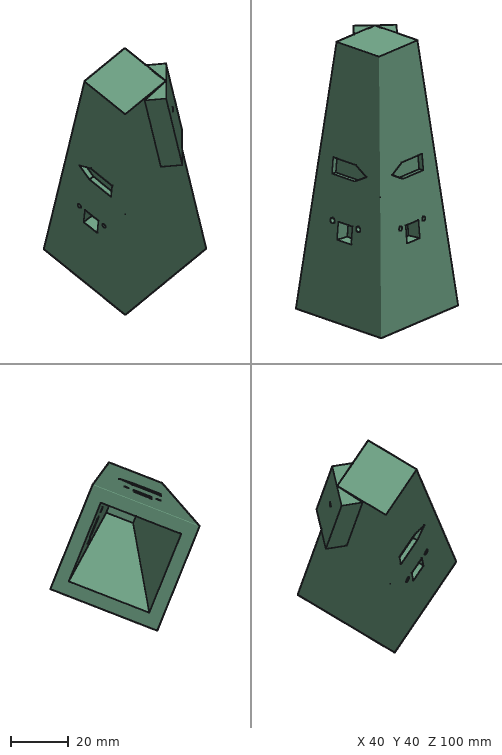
import cadquery as cq
import math

height = 100
base_side = 40
top_side = base_side / 2
edge_radius = 0.2

cavity_base_side = 30
cavity_top_side = 10
cavity_height = 90

arrow_length = 15.7
arrow_width = 6
arrow_tip = 8
arrow_depth = 2
front_arrow_z = 56.2
left_arrow_z = 55.6

window_z = 33
window_side = 6.6
pin_z = 36
pin_spacing = 12
front_pin_diameter = 1.6
left_pin_diameter = 2
wall_cut_depth = 7

block_width = 15
block_length = 40
block_depth = 15
block_proud = 0.1
block_hole_diameter = 1.6
block_hole_depth = 3
block_hole_drop = 17

face_slope = math.atan((base_side - top_side) / 2 / height)
corner_slope = math.atan((base_side - top_side) / math.sqrt(2) / height)


def frustum(bottom_side, upper_side, tall):
    """Square frustum standing on the XY plane."""
    base = cq.Workplane("XY").rect(bottom_side, bottom_side)
    return base.workplane(offset=tall).rect(upper_side, upper_side).loft(ruled=True)


def front_plane(z):
    """Workplane on the sloping -Y face at height z, with its normal pointing outward."""
    y = z * math.tan(face_slope) - base_side / 2
    normal = (0, -math.cos(face_slope), math.sin(face_slope))
    return cq.Workplane(cq.Plane((0, y, z), (1, 0, 0), normal))


def corner_plane():
    """Workplane along the sloping +X +Y corner edge, with its origin at the top of the edge."""
    side = math.cos(corner_slope) / math.sqrt(2)
    normal = (side, side, math.sin(corner_slope))
    plane = cq.Plane((top_side / 2, top_side / 2, height), (-1, 1, 0), normal)
    return cq.Workplane(plane).workplane(offset=block_proud)


def arrow_recess(z):
    """Recess shaped like an arrow pointing to -X, its nose an equilateral triangle."""
    shoulder = arrow_width * math.sqrt(3) / 2 - arrow_tip
    tail = arrow_length - arrow_tip
    half_width = arrow_width / 2
    outline = [
        (-arrow_tip, 0),
        (shoulder, half_width),
        (tail, half_width),
        (tail, -half_width),
        (shoulder, -half_width),
    ]
    return front_plane(z).polyline(outline).close().extrude(-arrow_depth)


def window():
    """Square opening through the wall."""
    return front_plane(window_z).rect(window_side, window_side).extrude(-wall_cut_depth)


def pin_holes(diameter):
    """Pair of round holes through the wall, one on each side of the window."""
    centres = [(-pin_spacing / 2, 0), (pin_spacing / 2, 0)]
    return front_plane(pin_z).pushPoints(centres).circle(diameter / 2).extrude(-wall_cut_depth)


def on_left_face(cutter):
    """Carry a cutter to the -X face, mirrored so that both arrows point to the shared edge."""
    return cutter.mirror("YZ").rotate((0, 0, 0), (0, 0, 1), -90)


def corner_block():
    """Plain block lying along the corner edge."""
    outer = corner_plane().center(0, -block_length / 2)
    return outer.rect(block_width, block_length).extrude(-block_depth)


def block_hole():
    """Blind hole in the outer face of the block."""
    start = corner_plane().center(0, -block_hole_drop)
    return start.circle(block_hole_diameter / 2).extrude(-block_hole_depth)


tower = frustum(base_side, top_side, height).edges("not(>Z)").fillet(edge_radius)
result = tower.union(corner_block()).cut(block_hole())

result = result.cut(arrow_recess(front_arrow_z)).cut(window()).cut(pin_holes(front_pin_diameter))
for left_cutter in (arrow_recess(left_arrow_z), window(), pin_holes(left_pin_diameter)):
    result = result.cut(on_left_face(left_cutter))

result = result.cut(frustum(cavity_base_side, cavity_top_side, cavity_height))